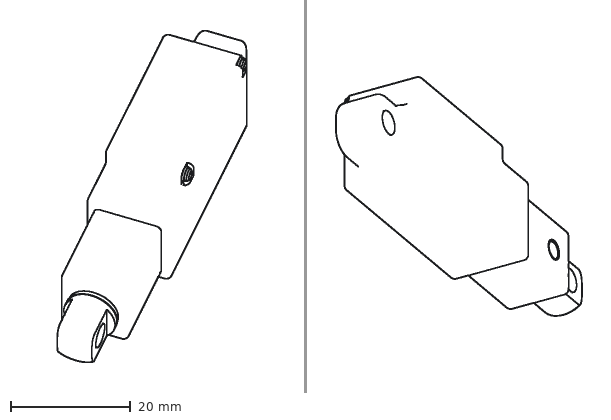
import cadquery as cq
import math


edge_radius = 1.0
housing_width = 15.0
housing_height = 18.0
axis_height = 7.5
housing_bottom = -axis_height
housing_top = housing_height - axis_height
housing_length = 37.0
step_distance = 28.4
step_height = 3.0
deck_top = housing_top - step_height

sleeve_size = 12.0
sleeve_end = 53.08

side_hole_diameter = 3.1
side_hole_distance = 47.5
side_rim_diameter = 3.5
side_rim_depth = 0.1
floor_depth = 0.15
floor_bend_radius = 2.2
floor_bend_angle = math.radians(35)
floor_bend_offset = 0.75
floor_bend_start = side_hole_distance + floor_bend_offset

pin_hole_diameter = 4.2
lug_length = 9.0
lug_width = 8.0
lug_height = 10.0
lug_corner_radius = 4.0
lug_root_radius = 1.4
lug_pin_distance = 4.5
lug_root_rise = 0.45
lug_root_top = lug_height / 2 + lug_root_rise

pocket_size = 2.7
pocket_depth = 1.2
washer_diameter = 2.5
washer_thickness = 0.4
screw_head_diameter = 2.2
screw_head_height = 0.7
screw_head_chamfer = 0.3

rod_diameter = 8.9
rod_recess_depth = 3.0
collar_length = 0.8
head_diameter = 9.15
flat_thickness = 6.2
neck_length = 1.85
flat_start = sleeve_end + neck_length
rod_tip = 62.0
tip_radius = 12.0
tip_fillet = 1.0
rod_pin_to_tip = 4.0
rod_pin_distance = rod_tip - rod_pin_to_tip

select_margin = 0.1


def box(x_range, y_range, z_range):
    """Return a box between the given limits."""
    corner = (x_range[0], y_range[0], z_range[0])
    size = (x_range[1] - x_range[0], y_range[1] - y_range[0], z_range[1] - z_range[0])
    return cq.Workplane("XY").box(*size, centered=False).translate(corner)


def cross_cylinder(diameter, y, z, x_start, length):
    """Return a cylinder along +X that starts at x_start."""
    return cq.Workplane("YZ", origin=(x_start, y, z)).circle(diameter / 2).extrude(length)


def axial_cylinder(diameter, start, end):
    """Return a cylinder on the actuator axis, between two distances in front of the housing."""
    return cq.Workplane("XZ", origin=(0, -start, 0)).circle(diameter / 2).extrude(end - start)


def stepped_case():
    """Return the rounded housing block with its lower front deck."""
    case = (
        cq.Workplane("YZ", origin=(-housing_width / 2, 0, 0))
        .moveTo(0, housing_bottom)
        .lineTo(0, housing_top)
        .lineTo(-step_distance, housing_top)
        .lineTo(-step_distance, deck_top)
        .lineTo(-housing_length, deck_top)
        .lineTo(-housing_length, housing_bottom)
        .close()
        .extrude(housing_width)
    )
    inner_corner = cq.selectors.BoxSelector(
        (-housing_width, -step_distance - select_margin, deck_top - select_margin),
        (housing_width, -step_distance + select_margin, deck_top + select_margin),
    )
    rounded = case.edges(cq.selectors.InverseSelector(inner_corner)).fillet(edge_radius)
    return rounded.edges(inner_corner).edges("|X").fillet(edge_radius)


def sleeve():
    """Return the square sleeve with rounded long edges and front rim."""
    half = sleeve_size / 2
    block = box((-half, half), (-sleeve_end, -housing_length + edge_radius), (-half, half))
    return block.edges("|Y").fillet(edge_radius).faces("<Y").edges().fillet(edge_radius)


def lug():
    """Return the rounded rear lug, with the fillet at its root trimmed flat on top."""
    half_width = lug_width / 2
    half_height = lug_height / 2
    plate_size = housing_width
    plate = cq.Workplane("XY").box(plate_size, edge_radius, plate_size).translate((0, -edge_radius / 2, 0))
    tongue = box((-half_width, half_width), (0, lug_length), (-half_height, half_height))
    tongue = tongue.faces(">Y").edges("|X").fillet(lug_corner_radius)
    tongue = tongue.faces("<X or >X").edges("not <Y").fillet(edge_radius)
    joined = plate.union(tongue)
    root = cq.selectors.BoxSelector(
        (-half_width - select_margin, -select_margin, -half_height - select_margin),
        (half_width + select_margin, select_margin, half_height + select_margin),
    )
    joined = joined.edges(root).fillet(lug_root_radius)
    above_root = box((-plate_size, plate_size), (0, lug_length), (lug_root_top, plate_size))
    inside_case = box((-plate_size, plate_size), (-edge_radius, 0), (-plate_size, plate_size))
    return joined.cut(above_root).cut(inside_case)


def side_hole():
    """Return the tool for the blind side hole: wide rim, flat floor, then a bend to a sloping floor."""
    outer_face = -sleeve_size / 2
    floor = outer_face + floor_depth
    start = -floor_bend_start
    front = -side_hole_distance - side_hole_diameter
    rear = -side_hole_distance + side_hole_diameter / 2

    def bend_point(angle):
        across = start + floor_bend_radius * math.sin(angle)
        down = floor + floor_bend_radius * (1 - math.cos(angle))
        return (down, across)

    bend_end = bend_point(floor_bend_angle)
    slope_end = bend_end[0] + (rear - bend_end[1]) * math.tan(floor_bend_angle)
    space_above_floor = (
        cq.Workplane("XY", origin=(0, 0, -side_hole_diameter))
        .moveTo(outer_face, front)
        .lineTo(floor, front)
        .lineTo(floor, start)
        .threePointArc(bend_point(floor_bend_angle / 2), bend_end)
        .lineTo(slope_end, rear)
        .lineTo(outer_face, rear)
        .close()
        .extrude(2 * side_hole_diameter)
    )
    drill = cross_cylinder(side_hole_diameter, -side_hole_distance, 0, outer_face, sleeve_size / 2)
    rim = cross_cylinder(side_rim_diameter, -side_hole_distance, 0, outer_face, side_rim_depth)
    return drill.intersect(space_above_floor).union(rim)


def build_housing():
    """Return the housing: case, sleeve, lug and screw heads in one solid."""
    body = stepped_case().union(sleeve()).union(lug())
    pin_hole = cross_cylinder(
        pin_hole_diameter, lug_length - lug_pin_distance, 0, -lug_width, 2 * lug_width
    )
    rod_recess = axial_cylinder(rod_diameter, sleeve_end - rod_recess_depth, sleeve_end)
    body = body.cut(pin_hole).cut(rod_recess).cut(side_hole())

    side = housing_width / 2
    floor = side - pocket_depth
    for front in (-pocket_size, -step_distance):
        pocket = box((floor, side), (front, front + pocket_size), (housing_top - pocket_size, housing_top))
        screw_y = front + pocket_size / 2
        screw_z = housing_top - pocket_size / 2
        washer = cross_cylinder(washer_diameter, screw_y, screw_z, floor, washer_thickness)
        head = cross_cylinder(
            screw_head_diameter, screw_y, screw_z, floor + washer_thickness, screw_head_height
        )
        head = head.faces(">X").chamfer(screw_head_chamfer)
        body = body.cut(pocket).union(washer).union(head)
    return body


def build_rod():
    """Return the rod with its flattened, rounded and drilled head."""
    head_start = sleeve_end + collar_length
    head = axial_cylinder(head_diameter, head_start, rod_tip)
    tip_round = cross_cylinder(
        2 * tip_radius, -rod_tip + tip_radius, 0, -head_diameter, 2 * head_diameter
    )
    head = head.intersect(tip_round).faces("<Y").edges().fillet(tip_fillet)
    for side in (-1, 1):
        x_limits = sorted((side * flat_thickness / 2, side * head_diameter))
        head = head.cut(box(x_limits, (-rod_tip, -flat_start), (-head_diameter, head_diameter)))
    shank = axial_cylinder(rod_diameter, sleeve_end - rod_recess_depth, head_start)
    pin_hole = cross_cylinder(pin_hole_diameter, -rod_pin_distance, 0, -head_diameter, 2 * head_diameter)
    return shank.union(head).cut(pin_hole)


housing = build_housing()
rod = build_rod()
result = cq.Compound.makeCompound([housing.val(), rod.val()])